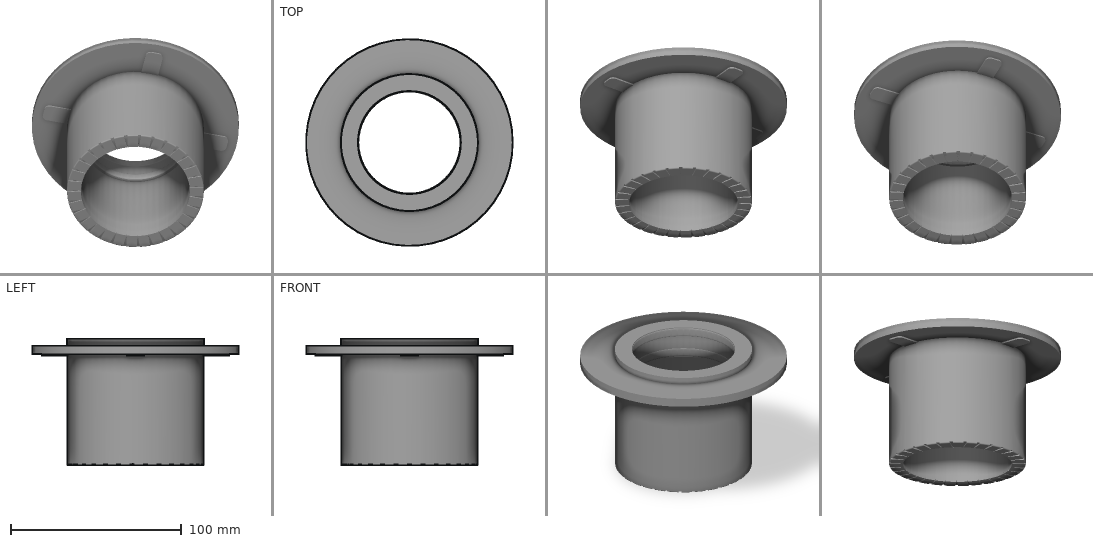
import cadquery as cq
import math

total_height = 74.0
sleeve_diameter = 80.0
collar_diameter = 80.3
collar_height = 4.0
foot_diameter = 78.6
foot_radius = (sleeve_diameter - foot_diameter) / 2

foot_slot_count = 31
foot_slot_depth = 0.7
foot_tooth_width = 6.2
first_foot_slot_angle = -90
foot_pitch_angle = 360 / foot_slot_count

flange_diameter = 121
flange_thickness = 5.1
flange_top = total_height - collar_height
flange_bottom = flange_top - flange_thickness

lower_bore_diameter = 63.6
land_diameter = 60.4
land_width = 7.9
lip_height = 0.6
groove_diameter = 67.0
groove_width = 5.0
groove_spacing = groove_width + land_width
upper_groove_centre = total_height - lip_height - groove_width / 2
lower_groove_centre = upper_groove_centre - groove_spacing
groove_centres = [upper_groove_centre, lower_groove_centre]
lower_bore_height = lower_groove_centre - groove_width / 2 - lip_height

seal_bulge = 0.5

tab_reach = 54.9
tab_width = 10.2
tab_thickness = 0.8
tab_corner_radius = 3.0


def disc(diameter, bottom, height):
    return cq.Workplane("XY").workplane(offset=bottom).circle(diameter / 2).extrude(height)


def ring(outer_diameter, inner_diameter, bottom, height):
    return disc(outer_diameter, bottom, height).cut(disc(inner_diameter, bottom, height))


def make_tab_pair(angle):
    """Two opposite tabs, made as one bar across the axis with rounded corners."""
    bar = (
        cq.Workplane("XY")
        .workplane(offset=flange_bottom - tab_thickness)
        .rect(2 * tab_reach, tab_width)
        .extrude(tab_thickness)
        .edges("|Z")
        .fillet(tab_corner_radius)
    )
    return bar.rotate((0, 0, 0), (0, 0, 1), angle)


def make_foot_slot(angle):
    """The wedge between two neighbouring teeth, whose sides meet at a point inside the bore."""
    half_pitch = math.radians(foot_pitch_angle / 2)
    apex_radius = foot_tooth_width / 2 / math.sin(half_pitch)
    outer_radius = collar_diameter / 2
    outer_half_width = (outer_radius - apex_radius) * math.tan(half_pitch)
    wedge = (
        cq.Workplane("XY")
        .moveTo(apex_radius, 0)
        .lineTo(outer_radius, -outer_half_width)
        .lineTo(outer_radius, outer_half_width)
        .close()
        .extrude(foot_slot_depth)
    )
    return wedge.rotate((0, 0, 0), (0, 0, 1), angle)


def make_sleeve():
    body = disc(sleeve_diameter, 0, total_height).faces("<Z").edges().fillet(foot_radius)
    body = body.union(disc(collar_diameter, flange_top, collar_height))
    for angle in (0, 90):
        body = body.union(make_tab_pair(angle))
    body = body.cut(disc(land_diameter, 0, total_height))
    body = body.cut(disc(lower_bore_diameter, 0, lower_bore_height))
    for centre in groove_centres:
        body = body.cut(disc(groove_diameter, centre - groove_width / 2, groove_width))
    for index in range(foot_slot_count):
        body = body.cut(make_foot_slot(first_foot_slot_angle + index * foot_pitch_angle))
    return body.solids().val()


def make_flange():
    return ring(flange_diameter, sleeve_diameter, flange_bottom, flange_thickness).solids().val()


def make_seal(centre):
    """A ring that fills the groove, with a half-elliptical bead on its inner side."""
    inner_radius = land_diameter / 2
    base = ring(groove_diameter, land_diameter, centre - groove_width / 2, groove_width)
    bead = (
        cq.Workplane("XZ", origin=(inner_radius, 0, centre))
        .ellipse(seal_bulge, groove_width / 2)
        .revolve(360, (-inner_radius, 0, 0), (-inner_radius, 1, 0))
    )
    return base.union(bead).solids().val()


sleeve = make_sleeve()
flange = make_flange()
seals = [make_seal(centre) for centre in groove_centres]

result = cq.Compound.makeCompound([sleeve, flange, *seals])